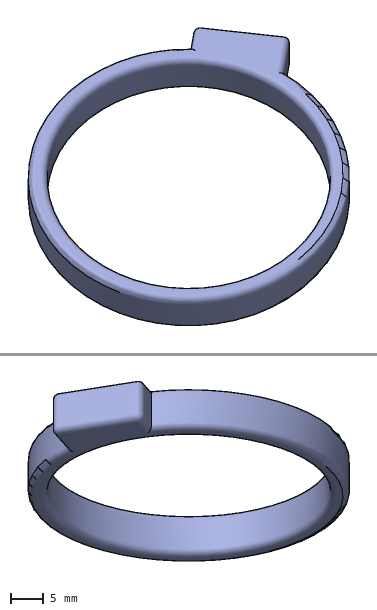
import cadquery as cq

inner_diameter = 44.0
wall = 2.95
height = 7.0
inner_radius = inner_diameter / 2
outer_radius = inner_radius + wall
mid_wall_radius = inner_radius + wall / 2

block_angle = 27.0
block_width = 15.0
block_left = -3.1
block_reach = 29.1

edge_radius = 1.0


def make_ring():
    """Plain ring with a rectangular section."""
    return cq.Workplane("XY").circle(outer_radius).circle(inner_radius).extrude(height)


def make_block():
    """Upright block with rounded outer corners, ending inside the wall of the ring."""
    block = (
        cq.Workplane("XY")
        .moveTo(block_left + block_width / 2, block_reach / 2)
        .rect(block_width, block_reach)
        .extrude(height)
        .edges("|Z and >Y")
        .fillet(edge_radius)
        .rotate((0, 0, 0), (0, 0, 1), block_angle)
    )
    core = cq.Workplane("XY").circle(mid_wall_radius).extrude(height)
    return block.cut(core)


def make_housing():
    """Ring and block in one piece, with all rims at the top and bottom rounded."""
    housing = make_ring().union(make_block())
    return housing.faces("<Z or >Z").edges().fillet(edge_radius)


housing = make_housing()

result = cq.Compound.makeCompound([housing.val()])